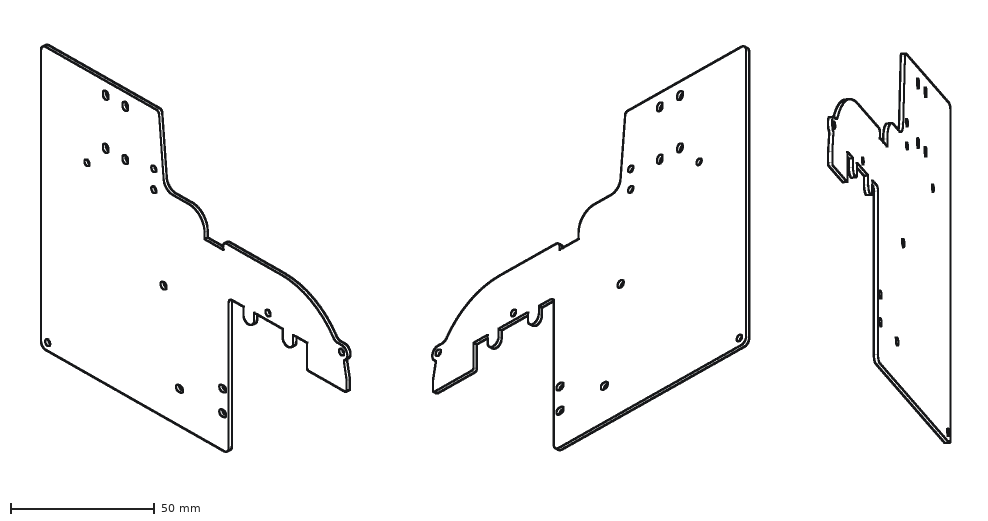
import cadquery as cq
import math

thickness = 1.5
length = 156.6
height = 125.1
panel_width = 96.0
panel_corner_radius = 2.5

top_edge_end = 60.3
top_corner_radius = 1.4
shoulder_start = 63.1
shoulder_height = 93.8
shoulder_inner_radius = 4.7
shoulder_end = 83.6
shoulder_outer_radius = 8.0
notch_floor = 83.0
notch_end = 93.2

arm_top = 86.3
arm_bottom = 64.2
arm_curve_start = 123.0
arm_curve_radius = 32.6
arm_corner_radius = 1.5
arm_inner_radius = 1.5

lug_radius = 3.0
lug_x = length - lug_radius
lug_z = 68.5
lug_top = lug_z + lug_radius
lug_blend_radius = 2.5
neck_x = 154.8
neck_z = lug_z - math.sqrt(lug_radius**2 - (neck_x - lug_x) ** 2)
neck_blend_radius = 1.3

foot_left = 136.0
foot_right = 156.3
foot_bottom = 53.0
foot_slope_end = 58.0
foot_corner_radius = 1.0

tab_width = 5.5
tab_tip = 58.1
tab_centers = (106.2, 126.2)

small_hole_diameter = 2.5
small_holes = ((3.5, 3.5), (23.5, 87.0), (57.6, 91.5), (57.6, 100.1), (116.0, 67.4), (lug_x, lug_z))
large_hole_diameter = 3.0
large_hole = (62.7, 54.2)
slot_length = 3.5
slot_width = 2.7
upright_slots = [(x, z) for x in (33.0, 43.0) for z in (97.3, 119.2)]
level_slots = ((70.8, 15.3), (92.9, 15.3), (92.9, 25.5))


def front_plane():
    """Sketch plane whose local axes are X and Z, extruding toward +Y."""
    return cq.Workplane(cq.Plane(origin=(0, 0, 0), xDir=(1, 0, 0), normal=(0, -1, 0)))


def arm_curve_point(z):
    """Point at height z on the arc that bends the arm top downward."""
    rise = z - (arm_top - arm_curve_radius)
    return (arm_curve_start + math.sqrt(arm_curve_radius**2 - rise**2), z)


def round_corner(body, x, z, radius):
    """Fillet the through-thickness edge at (x, z)."""
    reach = 0.08
    picker = cq.selectors.BoxSelector(
        (x - reach, -2 * thickness, z - reach), (x + reach, 2 * thickness, z + reach)
    )
    return body.edges("|Y").edges(picker).fillet(radius)


def make_outline():
    curve_middle = arm_curve_point((arm_top + lug_top) / 2)
    curve_end = arm_curve_point(lug_top)
    body = (
        front_plane()
        .moveTo(0, 0)
        .lineTo(0, height)
        .lineTo(top_edge_end, height)
        .lineTo(shoulder_start, shoulder_height)
        .lineTo(shoulder_end, shoulder_height)
        .lineTo(shoulder_end, notch_floor)
        .lineTo(notch_end, notch_floor)
        .lineTo(notch_end, arm_top)
        .lineTo(arm_curve_start, arm_top)
        .threePointArc(curve_middle, curve_end)
        .lineTo(lug_x, lug_top)
        .threePointArc((length, lug_z), (neck_x, neck_z))
        .lineTo(foot_right, foot_slope_end)
        .lineTo(foot_right, foot_bottom)
        .lineTo(foot_left, foot_bottom)
        .lineTo(foot_left, arm_bottom)
        .lineTo(panel_width, arm_bottom)
        .lineTo(panel_width, 0)
        .close()
        .extrude(-thickness)
    )
    corners = (
        (0, 0, panel_corner_radius),
        (0, height, panel_corner_radius),
        (panel_width, 0, panel_corner_radius),
        (top_edge_end, height, top_corner_radius),
        (shoulder_start, shoulder_height, shoulder_inner_radius),
        (shoulder_end, shoulder_height, shoulder_outer_radius),
        (notch_end, arm_top, arm_corner_radius),
        (*curve_end, lug_blend_radius),
        (neck_x, neck_z, neck_blend_radius),
        (foot_right, foot_bottom, foot_corner_radius),
        (foot_left, foot_bottom, foot_corner_radius),
        (panel_width, arm_bottom, arm_inner_radius),
    )
    for x, z, radius in corners:
        body = round_corner(body, x, z, radius)
    return body


def make_tab(center_x):
    """Tab with a semicircular tip, starting inside the arm to join it."""
    radius = tab_width / 2
    root = arm_bottom + radius
    return (
        front_plane()
        .moveTo(center_x - radius, root)
        .lineTo(center_x - radius, tab_tip + radius)
        .threePointArc((center_x, tab_tip), (center_x + radius, tab_tip + radius))
        .lineTo(center_x + radius, root)
        .close()
        .extrude(-thickness)
    )


def make_holes(centers, diameter):
    return front_plane().pushPoints(centers).circle(diameter / 2).extrude(-thickness)


def make_slots(centers, angle):
    return front_plane().pushPoints(centers).slot2D(slot_length, slot_width, angle).extrude(-thickness)


result = make_outline()
for tab_center in tab_centers:
    result = result.union(make_tab(tab_center))

result = result.cut(make_holes(small_holes, small_hole_diameter))
result = result.cut(make_holes([large_hole], large_hole_diameter))
result = result.cut(make_slots(upright_slots, 90))
result = result.cut(make_slots(level_slots, 0))